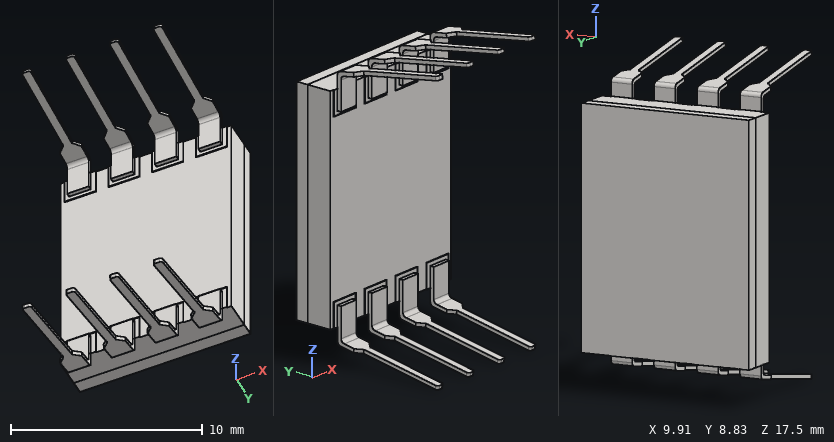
import cadquery as cq
import math

package_width = 9.91
package_height = 13.3
overall_height = 17.51
overall_depth = 8.83
lid_thickness = 0.75
base_thickness = 1.54

pad_width = 1.8
pad_height = 1.49
pad_thickness = 0.05

leads_per_row = 4
lead_pitch = 2.54
lead_width = 1.26
pin_width = 0.5
lead_thickness = 0.25
foot_overlap = 1.25
flare_angle = math.radians(10)
shoulder_length = 1.1
tip_radius = 0.14
outer_bend_radius = 0.25
inner_bend_radius = 0.25

flare_cos = math.cos(flare_angle)
flare_sin = math.sin(flare_angle)

foot_back_y = -pad_thickness
foot_front_y = foot_back_y - lead_thickness
foot_end_z = package_height / 2 - foot_overlap
lead_reach = overall_depth - lid_thickness - base_thickness - pad_thickness
arm_length = (lead_reach - lead_thickness * flare_sin) / flare_cos
outer_corner_z = overall_height / 2 - arm_length * flare_sin
inner_corner_z = outer_corner_z - lead_thickness * (1 - flare_sin) / flare_cos
tip_y = foot_back_y - arm_length * flare_cos
tip_z = overall_height / 2

lead_positions = [(i - (leads_per_row - 1) / 2) * lead_pitch for i in range(leads_per_row)]


def plate(thickness, front_y):
    """Full-size package plate whose front face lies at front_y."""
    return cq.Workplane("XY").box(
        package_width, thickness, package_height, centered=(True, False, True)
    ).translate((0, front_y, 0))


def make_pad():
    """Pad flush with the top edge of the mounting face."""
    return cq.Workplane("XY").box(
        pad_width, pad_thickness, pad_height, centered=(True, False, False)
    ).translate((0, -pad_thickness, package_height / 2 - pad_height))


def bent_strip():
    """Strip of full lead width: foot, rounded bend and flared arm."""
    outer_corner = (foot_back_y, outer_corner_z)
    inner_corner = (foot_front_y, inner_corner_z)
    profile = [
        (foot_back_y, foot_end_z),
        outer_corner,
        (tip_y, tip_z),
        (tip_y - lead_thickness * flare_sin, tip_z - lead_thickness * flare_cos),
        inner_corner,
        (foot_front_y, foot_end_z),
    ]
    strip = cq.Workplane("YZ").polyline(profile).close().extrude(lead_width / 2, both=True)
    strip = strip.edges(cq.NearestToPointSelector((0, *outer_corner))).fillet(outer_bend_radius)
    return strip.edges(cq.NearestToPointSelector((0, *inner_corner))).fillet(inner_bend_radius)


def side_relief():
    """Material beside the +X flank of the pin, cut square to the arm."""
    half_lead = lead_width / 2
    half_pin = pin_width / 2
    taper_end = shoulder_length + half_lead - half_pin
    arm_plane = cq.Plane(
        origin=(0, foot_back_y, outer_corner_z),
        xDir=(0, -flare_cos, flare_sin),
        normal=(0, flare_sin, flare_cos),
    )
    outline = (
        cq.Workplane(arm_plane)
        .moveTo(shoulder_length, half_lead)
        .lineTo(taper_end, half_pin)
        .lineTo(arm_length - tip_radius, half_pin)
        .radiusArc((arm_length, half_pin - tip_radius), tip_radius)
        .lineTo(arm_length, half_lead)
        .close()
    )
    return outline.extrude(-lead_thickness)


def make_lead():
    """Lead of the top row: wide shoulder, 45 degree taper, narrow pin and rounded tip."""
    relief = side_relief()
    return bent_strip().cut(relief).cut(relief.mirror("YZ"))


def make_base():
    """Base plate carrying both rows of pads and leads as one solid."""
    base = plate(base_thickness, 0)
    top_contact = make_pad().union(make_lead())
    for contact in (top_contact, top_contact.mirror("XY")):
        for x in lead_positions:
            base = base.union(contact.translate((x, 0, 0)))
    return base


lid = plate(lid_thickness, base_thickness)
base = make_base()

result = cq.Compound.makeCompound([lid.val(), base.val()])